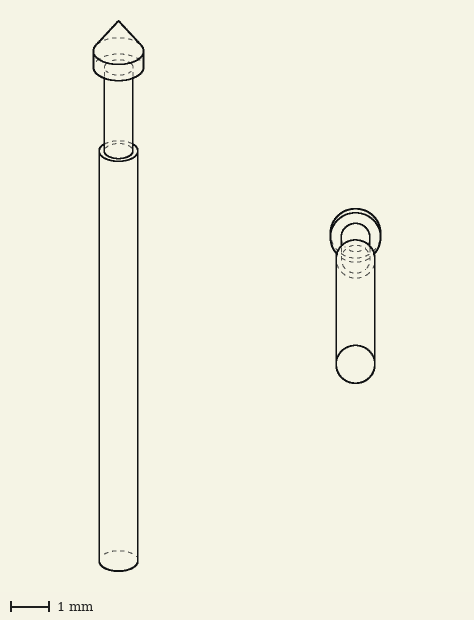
import cadquery as cq

total_length = 16.47

barrel_diameter = 1.0
barrel_length = 12.5

stem_diameter = 0.74
head_diameter = 1.3
head_rim_height = 0.5
tip_height = 0.92

head_top = total_length - tip_height
head_bottom = head_top - head_rim_height

profile = (
    cq.Workplane("XZ")
    .moveTo(0, 0)
    .lineTo(barrel_diameter / 2, 0)
    .lineTo(barrel_diameter / 2, barrel_length)
    .lineTo(stem_diameter / 2, barrel_length)
    .lineTo(stem_diameter / 2, head_bottom)
    .lineTo(head_diameter / 2, head_bottom)
    .lineTo(head_diameter / 2, head_top)
    .lineTo(0, total_length)
    .close()
)

result = profile.revolve(360, (0, 0, 0), (0, 1, 0))